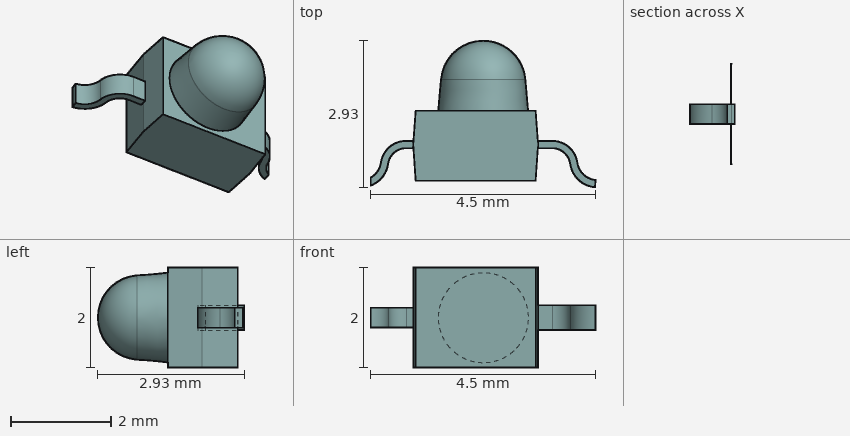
import cadquery as cq
import math


body_length_parting = 2.5
body_length_face = 2.4
body_depth = 1.4
body_front_y = 0.675
body_back_y = body_front_y - body_depth
body_height = 2.0

lens_x = 0.15
lens_base_radius = 0.9
lens_length = 1.4
lens_taper = math.radians(5)

lead_thickness = 0.15
shoulder_inner_radius = 0.36
foot_inner_radius = 0.4
bend_angle = math.radians(82)
lead_root_x = body_length_parting / 2
lead_top_y = lead_thickness / 2

left_lead_width = 0.4
left_straight = 0.14
left_tip_x = 2.1

right_lead_width = 0.5
right_straight = 0.28
right_foot_end_angle = math.radians(4.6)


def polar(center, radius, angle):
    """Point at the given distance and direction from a center."""
    return (center[0] + radius * math.cos(angle), center[1] + radius * math.sin(angle))


def make_package():
    """Hexagonal-profile body and the lens molded onto its front face."""
    half_face = body_length_face / 2
    half_parting = body_length_parting / 2
    body = (
        cq.Workplane("XY")
        .polyline([
            (-half_face, body_back_y),
            (half_face, body_back_y),
            (half_parting, 0),
            (half_face, body_front_y),
            (-half_face, body_front_y),
            (-half_parting, 0),
        ])
        .close()
        .extrude(body_height / 2, both=True)
    )
    return body.union(make_lens())


def make_lens():
    """Revolved lens, with the tip radius set so that the sphere is tangent to the taper."""
    slope = math.tan(lens_taper)
    tip_radius = (lens_base_radius - lens_length * slope) / (1 / math.cos(lens_taper) - slope)
    tip_y = body_front_y + lens_length
    tip_center = (lens_x, tip_y - tip_radius)
    tangent_point = polar(tip_center, tip_radius, lens_taper)
    arc_middle = polar(tip_center, tip_radius, (lens_taper + math.pi / 2) / 2)
    return (
        cq.Workplane("XY")
        .moveTo(lens_x, body_front_y)
        .lineTo(lens_x + lens_base_radius, body_front_y)
        .lineTo(*tangent_point)
        .threePointArc(arc_middle, (lens_x, tip_y))
        .close()
        .revolve(360, (lens_x, body_front_y, 0), (lens_x, tip_y, 0))
    )


def make_lead(straight, width, foot_end_angle):
    """Lead pointing to +X; the foot ends at foot_end_angle short of horizontal."""
    shoulder_outer_radius = shoulder_inner_radius + lead_thickness
    foot_outer_radius = foot_inner_radius + lead_thickness
    bend_x = lead_root_x + straight
    shoulder_center = (bend_x, lead_top_y - shoulder_outer_radius)

    shoulder_start = math.pi / 2
    shoulder_end = shoulder_start - bend_angle
    shoulder_middle = (shoulder_start + shoulder_end) / 2
    foot_start = shoulder_end - math.pi
    foot_end = -math.pi / 2 - foot_end_angle
    foot_middle = (foot_start + foot_end) / 2
    foot_center = polar(shoulder_center, shoulder_outer_radius + foot_inner_radius, shoulder_end)

    return (
        cq.Workplane("XY")
        .moveTo(lead_root_x, lead_top_y)
        .lineTo(bend_x, lead_top_y)
        .threePointArc(
            polar(shoulder_center, shoulder_outer_radius, shoulder_middle),
            polar(shoulder_center, shoulder_outer_radius, shoulder_end),
        )
        .threePointArc(
            polar(foot_center, foot_inner_radius, foot_middle),
            polar(foot_center, foot_inner_radius, foot_end),
        )
        .lineTo(*polar(foot_center, foot_outer_radius, foot_end))
        .threePointArc(
            polar(foot_center, foot_outer_radius, foot_middle),
            polar(shoulder_center, shoulder_inner_radius, shoulder_end),
        )
        .threePointArc(
            polar(shoulder_center, shoulder_inner_radius, shoulder_middle),
            (bend_x, lead_top_y - lead_thickness),
        )
        .lineTo(lead_root_x, lead_top_y - lead_thickness)
        .close()
        .extrude(width / 2, both=True)
    )


def trim_tip(lead, tip_x):
    """Cut a lead off square to X at tip_x."""
    box_size = 2 * tip_x
    keep = cq.Workplane("XY").box(box_size, box_size, box_size)
    return lead.intersect(keep)


package = make_package()

right_lead = make_lead(right_straight, right_lead_width, right_foot_end_angle)

full_foot = make_lead(left_straight, left_lead_width, 0)
left_lead = trim_tip(full_foot, left_tip_x).mirror("YZ")

bodies = [package, left_lead, right_lead]
result = cq.Compound.makeCompound([body.solids().val() for body in bodies])